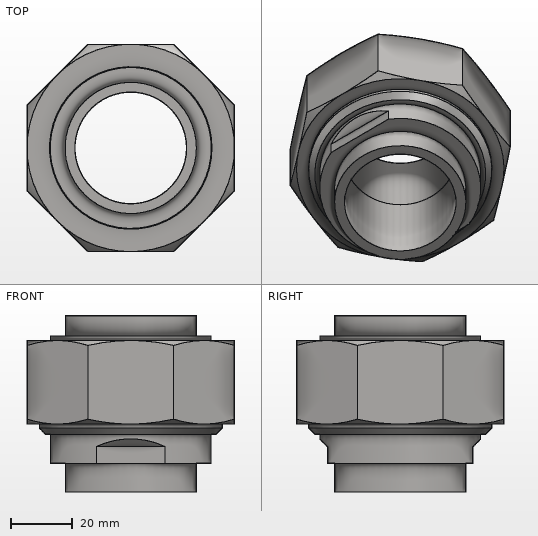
import cadquery as cq
import math

BORE_RADIUS = 18.0
PIPE_RADIUS = 21.2
COLLAR_RADIUS = 26.0

BODY_COLLAR_BOTTOM = 9.3
THREAD_BOTTOM = 18.7
NUT_BOTTOM = 22.0
NUT_HEIGHT = 27.0
NUT_TOP = NUT_BOTTOM + NUT_HEIGHT
TAIL_COLLAR_STEP = 1.5
TAIL_COLLAR_TOP = NUT_TOP + TAIL_COLLAR_STEP
TOTAL_HEIGHT = 57.0

THREAD_RADIUS = 29.6
THREAD_CHAMFER = 2.0

FLAT_DISTANCE = 23.5
FLAT_TOP = 14.7

NUT_SIDES = 8
NUT_ACROSS_FLATS = 67.0
NUT_INRADIUS = NUT_ACROSS_FLATS / 2
NUT_CIRCUMRADIUS = NUT_INRADIUS / math.cos(math.pi / NUT_SIDES)
NUT_CHAMFER_ANGLE = 30.0
LIP_CLEARANCE = 0.25
LIP_THICKNESS = 5.0
LIP_BOTTOM = NUT_TOP - LIP_THICKNESS

THREAD_ENGAGEMENT = 8.0
JOINT_HEIGHT = NUT_BOTTOM + THREAD_ENGAGEMENT


def revolve_profile(points):
    """Turn a closed (radius, height) outline about the Z axis."""
    return cq.Workplane("XZ").polyline(points).close().revolve(360, (0, 0), (0, 1))


def make_body():
    """Bottom piece: pipe stub, collar with two wrench flats, and threaded end."""
    turned = revolve_profile([
        (BORE_RADIUS, 0),
        (PIPE_RADIUS, 0),
        (PIPE_RADIUS, BODY_COLLAR_BOTTOM),
        (COLLAR_RADIUS, BODY_COLLAR_BOTTOM),
        (COLLAR_RADIUS, THREAD_BOTTOM),
        (THREAD_RADIUS - THREAD_CHAMFER, THREAD_BOTTOM),
        (THREAD_RADIUS, THREAD_BOTTOM + THREAD_CHAMFER),
        (THREAD_RADIUS, JOINT_HEIGHT),
        (BORE_RADIUS, JOINT_HEIGHT),
    ])
    runout = COLLAR_RADIUS - FLAT_DISTANCE
    flat_cutter = (
        cq.Workplane("YZ")
        .polyline([
            (FLAT_DISTANCE, BODY_COLLAR_BOTTOM),
            (COLLAR_RADIUS, BODY_COLLAR_BOTTOM),
            (COLLAR_RADIUS, FLAT_TOP + runout),
            (FLAT_DISTANCE, FLAT_TOP),
        ])
        .close()
        .extrude(COLLAR_RADIUS, both=True)
    )
    return turned.cut(flat_cutter).cut(flat_cutter.mirror("XZ"))


def make_tail():
    """Top piece: flange under the nut lip, collar through the lip, and pipe stub."""
    return revolve_profile([
        (BORE_RADIUS, JOINT_HEIGHT),
        (THREAD_RADIUS, JOINT_HEIGHT),
        (THREAD_RADIUS, LIP_BOTTOM),
        (COLLAR_RADIUS, LIP_BOTTOM),
        (COLLAR_RADIUS, TAIL_COLLAR_TOP),
        (PIPE_RADIUS, TAIL_COLLAR_TOP),
        (PIPE_RADIUS, TOTAL_HEIGHT),
        (BORE_RADIUS, TOTAL_HEIGHT),
    ])


def make_nut():
    """Octagonal nut with chamfered corners and an inner lip at its top."""
    octagon = (
        cq.Workplane("XY", origin=(0, 0, NUT_BOTTOM))
        .polygon(NUT_SIDES, 2 * NUT_CIRCUMRADIUS)
        .extrude(NUT_HEIGHT)
        .rotate((0, 0, 0), (0, 0, 1), 180 / NUT_SIDES)
    )
    chamfer_drop = (NUT_CIRCUMRADIUS - NUT_INRADIUS) * math.tan(math.radians(NUT_CHAMFER_ANGLE))
    lip_radius = COLLAR_RADIUS + LIP_CLEARANCE
    envelope = revolve_profile([
        (THREAD_RADIUS, NUT_BOTTOM),
        (NUT_INRADIUS, NUT_BOTTOM),
        (NUT_CIRCUMRADIUS, NUT_BOTTOM + chamfer_drop),
        (NUT_CIRCUMRADIUS, NUT_TOP - chamfer_drop),
        (NUT_INRADIUS, NUT_TOP),
        (lip_radius, NUT_TOP),
        (lip_radius, LIP_BOTTOM),
        (THREAD_RADIUS, LIP_BOTTOM),
    ])
    return octagon.intersect(envelope)


body = make_body()
tail = make_tail()
nut = make_nut()

result = cq.Compound.makeCompound([body.val(), tail.val(), nut.val()])